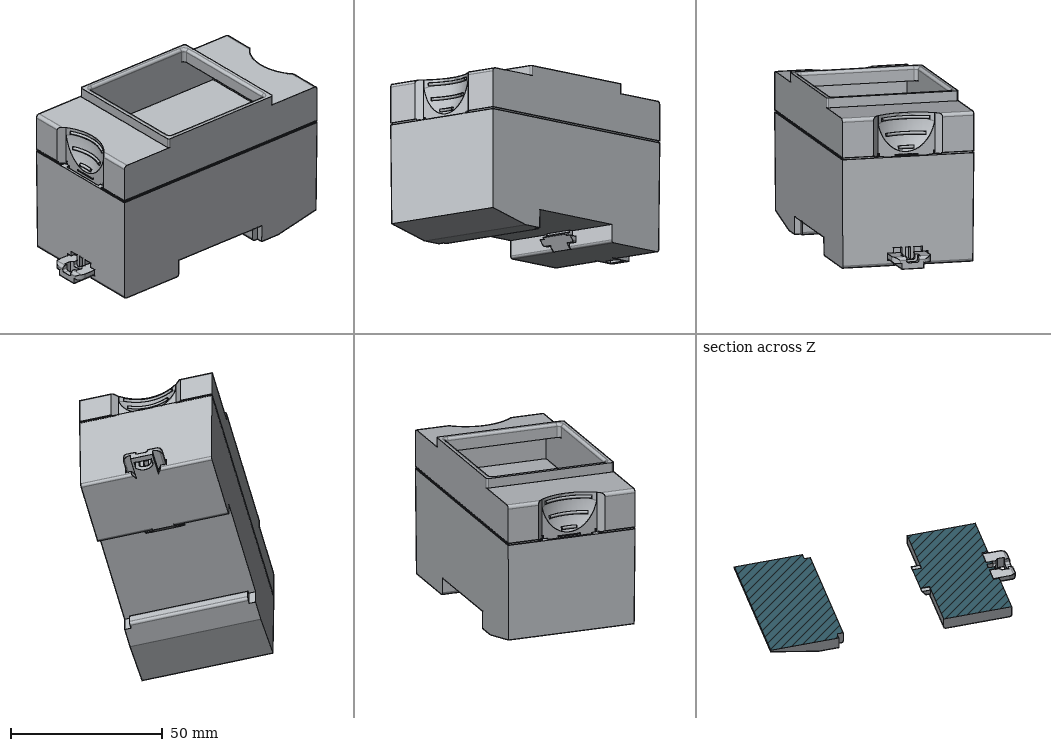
import cadquery as cq
import math

WIDTH = 45.0
LENGTH = 83.0
TOTAL_LENGTH = 88.9
TOTAL_HEIGHT = 53.7
SHOULDER_Z = 50.4
BASE_TOP_Z = 36.6
COVER_BOTTOM_Z = 37.25
JOINT_DEPTH = 0.4
BASE_INSET = 0.3
SHOULDER_RADIUS = 1.2
END_Y = LENGTH / 2
PICK_MARGIN = 0.1

FRAME_CORNER_RADIUS = 0.6
WINDOW_SIZE = 40.9
WINDOW_CORNER_RADIUS = 1.2
WINDOW_RIM_RADIUS = 1.0
CAVITY_LENGTH = 65.8
CAVITY_FLOOR_Z = 37.3
CAVITY_CEILING_Z = 48.9

RAIL_WIDTH = 35.7
RAIL_DEPTH = 6.05
BACK_SLOPE_Z = 3.6
BACK_SLOPE_END_Y = 24.9
FOOT_RADIUS = 0.9
HOOK_WIDTH = 40.2
HOOK_REACH = 2.1
HOOK_HEIGHT = 4.8
HOOK_RADIUS = 1.0

GRIP_DEPTH = 2.05
GRIP_HALF_WIDTH = 9.8
SCOOP_DEPTH = 5.1
SCOOP_BOTTOM_Z = 37.9
WALL_RADIUS = 16.9
SCOOP_RADIUS = 17.8
RIB_RADIUS = 0.5
RIB_RAISE = 0.1
RIBS = ((48.8, 8.3), (43.65, 6.85), (39.3, 2.7))
RAMP_WIDTH = 15.8
RAMP_LENGTH = 1.2
RAMP_DROP = 1.0
PRY_SLOT_WIDTH = 7.8
PRY_SLOT_DEPTH = 0.9
PRY_SLOT_HEIGHT = 0.4
LEDGE_HEIGHT = 0.3
LEDGE_LENGTH = 1.8
FLOOR_WIDTH = 20.3
CORNER_NOTCH_WIDTH = 0.5
CORNER_NOTCH_HEIGHT = 1.1

CLIP_TIP_Y = END_Y - TOTAL_LENGTH
CLIP_LATCH_Y = -14.4
LATCH_NOSE_Z = 4.5
LATCH_SLOPE_Y = -15.4
LATCH_BACK_Y = -16.45
LATCH_BACK_Z = 5.4
LATCH_HEEL_Y = -18.1
CLIP_WIDTH = 13.2
CLIP_BOTTOM_Z = 2.0
CLIP_TOP_Z = 4.0
CLIP_CORNER_RADIUS = 2.4
CLIP_UNDERSIDE_RADIUS = 0.5
CLIP_EDGE_RADIUS = 1.1
STEM_WIDTH = 7.5
LATCH_BODY_WIDTH = 10.0
GROOVE_WIDTH = 4.1
GROOVE_FLOOR_Z = 2.05
GROOVE_RADIUS = 0.8
TAB_HOLE_WIDTH = 5.9
TAB_HOLE_OUTER_Y = -45.6
TAB_HOLE_ARCH_Y = -43.4
TAB_HOLE_INNER_Y = -42.05

OPENING_DEPTH = 2.2
OPENING_WIDTH = 13.9
OPENING_TOP_Z = 4.45
STEM_SLOT_WIDTH = 10.3
KEY_OPENING_TOP_Z = 6.1
KEY_SLOT_WIDTH = 1.6


def block(x_size, y_range, z_range, x_center=0.0):
    """Box centred on x_center that spans the given Y and Z ranges."""
    y_size = y_range[1] - y_range[0]
    z_size = z_range[1] - z_range[0]
    box = cq.Workplane("XY").box(x_size, y_size, z_size, centered=(True, False, False))
    return box.translate((x_center, y_range[0], z_range[0]))


def side_profile(points, width):
    """Closed (y, z) outline extruded symmetrically along X."""
    return cq.Workplane("YZ").polyline(points).close().extrude(width / 2, both=True)


def tapered_recess(mouth_half, inner_half, depth, z_range):
    """Prism cut into the front face, narrowing from the mouth to its inner wall."""
    inner_y = -END_Y + depth
    outline = [(-mouth_half, -END_Y), (-inner_half, inner_y), (inner_half, inner_y), (mouth_half, -END_Y)]
    plan = cq.Workplane("XY", origin=(0, 0, z_range[0])).polyline(outline).close()
    return plan.extrude(z_range[1] - z_range[0])


def make_base():
    """Drafted lower housing with a sloped back underside and the rail seat."""
    draft = math.degrees(math.atan(BASE_INSET / BASE_TOP_Z))
    base = cq.Workplane("XY", origin=(0, 0, BASE_TOP_Z)).rect(WIDTH, LENGTH)
    base = base.extrude(-BASE_TOP_Z, taper=draft)
    back_cut = side_profile([(BACK_SLOPE_END_Y, 0), (END_Y, BACK_SLOPE_Z), (END_Y, 0)], WIDTH)
    rail_seat = block(WIDTH, (-RAIL_WIDTH / 2, RAIL_WIDTH / 2), (0, RAIL_DEPTH))
    base = base.cut(back_cut).cut(rail_seat)
    front_foot = cq.selectors.BoxSelector((-WIDTH, -LENGTH, -PICK_MARGIN), (WIDTH, 0, PICK_MARGIN))
    base = base.edges("|X").edges(front_foot).fillet(FOOT_RADIUS)
    hook_start = RAIL_WIDTH / 2
    hook = block(HOOK_WIDTH, (hook_start - HOOK_REACH, hook_start), (0, HOOK_HEIGHT))
    return base.union(hook.edges("|X and <Y").fillet(HOOK_RADIUS))


def make_cover():
    """Upper housing with low shoulders, a raised frame and a hollow under the window."""
    cover = block(WIDTH, (-END_Y, END_Y), (COVER_BOTTOM_Z, SHOULDER_Z))
    cover = cover.edges("|X and >Z").fillet(SHOULDER_RADIUS)
    frame = block(WIDTH, (-WIDTH / 2, WIDTH / 2), (SHOULDER_Z, TOTAL_HEIGHT))
    frame = frame.edges("|Z").fillet(FRAME_CORNER_RADIUS)
    window = block(WINDOW_SIZE, (-WINDOW_SIZE / 2, WINDOW_SIZE / 2), (CAVITY_FLOOR_Z, TOTAL_HEIGHT))
    window = window.edges("|Z").fillet(WINDOW_CORNER_RADIUS)
    cavity = block(WINDOW_SIZE, (-CAVITY_LENGTH / 2, CAVITY_LENGTH / 2), (CAVITY_FLOOR_Z, CAVITY_CEILING_Z))
    cover = cover.union(frame).cut(window)
    rim_reach = WINDOW_SIZE / 2 + PICK_MARGIN
    window_rim = cq.selectors.BoxSelector(
        (-rim_reach, -rim_reach, TOTAL_HEIGHT - PICK_MARGIN),
        (rim_reach, rim_reach, TOTAL_HEIGHT + PICK_MARGIN),
    )
    cover = cover.edges(window_rim).fillet(WINDOW_RIM_RADIUS)
    return cover.cut(cavity)


def make_joint():
    """Recessed slab that joins base and cover and leaves a groove all round."""
    half_length = END_Y - JOINT_DEPTH
    return block(WIDTH - 2 * JOINT_DEPTH, (-half_length, half_length), (BASE_TOP_Z, COVER_BOTTOM_Z))


def scoop_profile_radius():
    """Radius of the upright arc of the scoop, vertical where it reaches the shoulder."""
    rise = SHOULDER_Z - SCOOP_BOTTOM_Z
    run = SCOOP_DEPTH - GRIP_DEPTH
    return (rise**2 + run**2) / (2 * run)


def make_scoop():
    """Scoop bounded by an upright cylinder and by a curved surface of revolution."""
    deepest_y = -END_Y + SCOOP_DEPTH
    wall_y = -END_Y + GRIP_DEPTH
    wall = cq.Workplane("XY", origin=(0, deepest_y - WALL_RADIUS, SCOOP_BOTTOM_Z))
    wall = wall.circle(WALL_RADIUS).extrude(SHOULDER_Z - SCOOP_BOTTOM_Z)
    bottom_radius = SCOOP_RADIUS - (SCOOP_DEPTH - GRIP_DEPTH)
    mid_z = (SHOULDER_Z + SCOOP_BOTTOM_Z) / 2
    profile_radius = scoop_profile_radius()
    mid_drop = profile_radius - math.sqrt(profile_radius**2 - (SHOULDER_Z - mid_z) ** 2)
    bowl = (
        cq.Workplane("XZ", origin=(0, deepest_y - SCOOP_RADIUS, 0))
        .moveTo(0, SCOOP_BOTTOM_Z)
        .lineTo(bottom_radius, SCOOP_BOTTOM_Z)
        .threePointArc((SCOOP_RADIUS - mid_drop, mid_z), (SCOOP_RADIUS, SHOULDER_Z))
        .lineTo(0, SHOULDER_Z)
        .close()
        .revolve(360, (0, 0, 0), (0, 1, 0))
    )
    inner_side = block(WIDTH, (wall_y, 0), (SCOOP_BOTTOM_Z, SHOULDER_Z))
    return wall.intersect(bowl).intersect(inner_side)


def make_rib(height, half_width):
    """Round grip rib that follows the scoop at the given height."""
    profile_radius = scoop_profile_radius()
    drop = profile_radius - math.sqrt(profile_radius**2 - (SHOULDER_Z - height) ** 2)
    rib_path_radius = WALL_RADIUS - drop - RIB_RAISE
    half_angle = math.degrees(math.asin(half_width / rib_path_radius))
    rib = (
        cq.Workplane("YZ")
        .center(rib_path_radius, height)
        .circle(RIB_RADIUS)
        .revolve(2 * half_angle, (-rib_path_radius, 0, 0), (-rib_path_radius, 1, 0))
        .rotate((0, 0, 0), (0, 0, 1), -half_angle)
    )
    return rib.translate((0, -END_Y + SCOOP_DEPTH - WALL_RADIUS, 0))


def make_grip_cut():
    """Everything removed from the front end to form the finger grip."""
    wall_y = -END_Y + GRIP_DEPTH
    mouth_half = GRIP_HALF_WIDTH + GRIP_DEPTH
    recess = tapered_recess(mouth_half, GRIP_HALF_WIDTH, GRIP_DEPTH, (BASE_TOP_Z, SHOULDER_Z))
    for side in (-1, 1):
        ledge_x = side * (FLOOR_WIDTH + LEDGE_LENGTH) / 2
        ledge = block(LEDGE_LENGTH, (-END_Y, wall_y), (BASE_TOP_Z, BASE_TOP_Z + LEDGE_HEIGHT), ledge_x)
        recess = recess.cut(ledge)
    ramp = side_profile(
        [(wall_y - RAMP_LENGTH, BASE_TOP_Z), (wall_y, BASE_TOP_Z), (wall_y, BASE_TOP_Z - RAMP_DROP)],
        RAMP_WIDTH,
    )
    pry_slot_depth = (wall_y, wall_y + PRY_SLOT_DEPTH)
    pry_slot = block(PRY_SLOT_WIDTH, pry_slot_depth, (BASE_TOP_Z, BASE_TOP_Z + PRY_SLOT_HEIGHT))
    cut = recess.union(make_scoop()).union(ramp).union(pry_slot)
    for side in (-1, 1):
        notch_x = side * (GRIP_HALF_WIDTH - CORNER_NOTCH_WIDTH / 2)
        notch_top = BASE_TOP_Z + CORNER_NOTCH_HEIGHT
        notch_depth = (wall_y, wall_y + CORNER_NOTCH_WIDTH)
        cut = cut.union(block(CORNER_NOTCH_WIDTH, notch_depth, (BASE_TOP_Z, notch_top), notch_x))
    for height, half_width in RIBS:
        cut = cut.cut(make_rib(height, half_width))
    return cut


def make_clip_opening():
    """Clearance in the front face around the clip tab."""
    depth = (-END_Y, -END_Y + OPENING_DEPTH)
    opening = block(OPENING_WIDTH, depth, (CLIP_BOTTOM_Z, OPENING_TOP_Z))
    stem_slot = tapered_recess(STEM_SLOT_WIDTH / 2, STEM_WIDTH / 2, OPENING_DEPTH, (0, CLIP_BOTTOM_Z))
    opening = opening.union(stem_slot)
    opening = opening.union(block(LATCH_BODY_WIDTH, depth, (OPENING_TOP_Z, KEY_OPENING_TOP_Z)))
    opening = opening.cut(block(GROOVE_WIDTH, depth, (GROOVE_FLOOR_Z, KEY_OPENING_TOP_Z)))
    return opening.union(block(KEY_SLOT_WIDTH, depth, (GROOVE_FLOOR_Z, KEY_OPENING_TOP_Z)))


def make_clip():
    """Sliding rail clip: wide plate on a stem, pull tab in front, bevelled latch behind."""
    run = (CLIP_TIP_Y, CLIP_LATCH_Y)
    plate = block(CLIP_WIDTH, run, (CLIP_BOTTOM_Z, CLIP_TOP_Z))
    plate = plate.faces("<Y").edges(">Z").fillet(CLIP_EDGE_RADIUS)
    plate = plate.edges("|Y and <Z").fillet(CLIP_UNDERSIDE_RADIUS)
    outline = block(CLIP_WIDTH, run, (0, RAIL_DEPTH)).edges("|Z and <Y").fillet(CLIP_CORNER_RADIUS)
    clip = plate.intersect(outline)
    clip = clip.union(block(STEM_WIDTH, run, (0, CLIP_BOTTOM_Z)))

    latch_body = block(LATCH_BODY_WIDTH, (-RAIL_WIDTH / 2, CLIP_LATCH_Y), (CLIP_TOP_Z, RAIL_DEPTH))
    clip = clip.union(latch_body)
    latch_profile = [
        (CLIP_TIP_Y, 0), (LATCH_HEEL_Y, 0), (CLIP_LATCH_Y, LATCH_NOSE_Z), (LATCH_SLOPE_Y, LATCH_NOSE_Z),
        (LATCH_BACK_Y, LATCH_BACK_Z), (LATCH_BACK_Y, RAIL_DEPTH), (CLIP_TIP_Y, RAIL_DEPTH),
    ]
    clip = clip.intersect(side_profile(latch_profile, CLIP_WIDTH))

    groove = block(GROOVE_WIDTH, (CLIP_TIP_Y, -END_Y + OPENING_DEPTH), (GROOVE_FLOOR_Z, RAIL_DEPTH))
    groove = groove.edges("|Y and <Z").fillet(GROOVE_RADIUS)
    half_hole = TAB_HOLE_WIDTH / 2
    tab_hole = (
        cq.Workplane("XY")
        .moveTo(-half_hole, TAB_HOLE_OUTER_Y)
        .lineTo(half_hole, TAB_HOLE_OUTER_Y)
        .lineTo(half_hole, TAB_HOLE_ARCH_Y)
        .threePointArc((0, TAB_HOLE_INNER_Y), (-half_hole, TAB_HOLE_ARCH_Y))
        .close()
        .extrude(RAIL_DEPTH)
    )
    return clip.cut(groove).cut(tab_hole)


housing = make_base().union(make_joint()).union(make_cover())
grip_cut = make_grip_cut()
housing = housing.cut(grip_cut).cut(grip_cut.mirror("XZ"))
result = housing.cut(make_clip_opening()).union(make_clip())